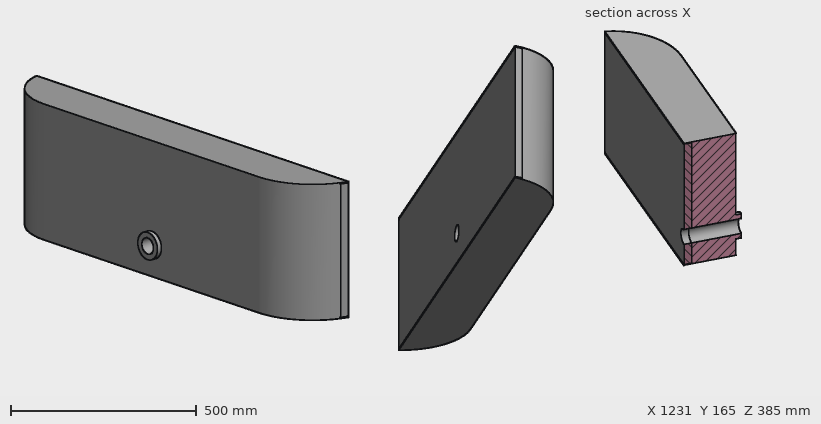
import cadquery as cq

width = 1231.0
height = 385.0
total_depth = 165.0
collar_height = 15.0
front_width = 850.0
panel_thickness = 22.0
lip_thickness = 4.0
collar_diameter = 78.0
bore_diameter = 45.0
bore_height = 90.0

housing_depth = total_depth - collar_height
half_width = width / 2
half_front = front_width / 2
end_run = half_width - half_front
panel_height = height - 2 * lip_thickness
end_radius = (end_run**2 + housing_depth**2) / (2 * housing_depth)


def make_profile_block():
    """Full-height block with a flat back, a flat front and ends rounded by tangent arcs."""
    return (
        cq.Workplane("XY")
        .moveTo(-half_front, -housing_depth)
        .lineTo(half_front, -housing_depth)
        .radiusArc((half_width, 0), -end_radius)
        .lineTo(-half_width, 0)
        .radiusArc((-half_front, -housing_depth), -end_radius)
        .close()
        .extrude(height)
    )


def make_panel_zone():
    """Box at the back that separates the panel from the housing."""
    return cq.Workplane("XY").box(
        width, panel_thickness, panel_height, centered=(True, True, False)
    ).translate((0, -panel_thickness / 2, lip_thickness))


def make_front_cylinder(diameter, start_depth, length):
    """Cylinder on the bore axis, running forward from a depth ahead of the back face."""
    return (
        cq.Workplane("XZ", origin=(0, -start_depth, bore_height))
        .circle(diameter / 2)
        .extrude(length)
    )


def make_bore():
    """Through bore shared by the housing and the back panel."""
    return make_front_cylinder(bore_diameter, 0, total_depth)


def make_housing():
    """Housing with a collar on its front and a recess for the panel in its back."""
    collar = make_front_cylinder(collar_diameter, housing_depth, collar_height)
    return make_profile_block().cut(make_panel_zone()).union(collar).cut(make_bore())


def make_back_panel():
    """Panel that fills the back recess and follows the rounded ends."""
    return make_profile_block().intersect(make_panel_zone()).cut(make_bore())


housing = make_housing()
back_panel = make_back_panel()

result = cq.Compound.makeCompound([housing.solids().val(), back_panel.solids().val()])